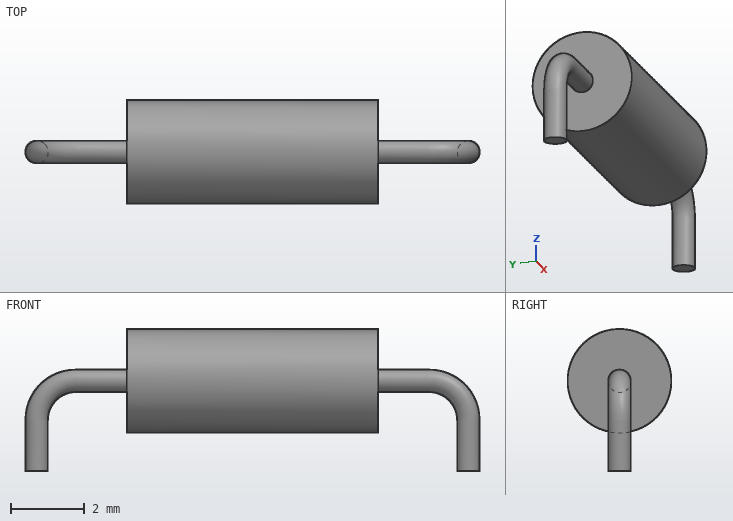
import cadquery as cq

overall_length = 12.29
body_diameter = 2.81
body_length = 6.8
lead_diameter = 0.61
bend_radius = 1.06
overall_height = 3.85

body_end_x = body_length / 2
leg_x = overall_length / 2 - lead_diameter / 2
bend_start_x = leg_x - bend_radius
tip_z = body_diameter / 2 - overall_height


def make_body():
    """Plain cylinder lying along X, centred on the origin."""
    return (
        cq.Workplane("YZ")
        .workplane(offset=-body_end_x)
        .circle(body_diameter / 2)
        .extrude(body_length)
    )


def make_lead(side):
    """Round wire from a body end face, bent down to its tip; side is -1 or +1 along X."""
    centreline = (
        cq.Workplane("XZ")
        .moveTo(side * body_end_x, 0)
        .lineTo(side * bend_start_x, 0)
        .tangentArcPoint((side * leg_x, -bend_radius), relative=False)
        .lineTo(side * leg_x, tip_z)
    )
    return (
        cq.Workplane("YZ", origin=(side * body_end_x, 0, 0))
        .circle(lead_diameter / 2)
        .sweep(centreline)
    )


body = make_body()
leads = [make_lead(side) for side in (-1, 1)]

result = cq.Compound.makeCompound([body.val(), *[lead.val() for lead in leads]])